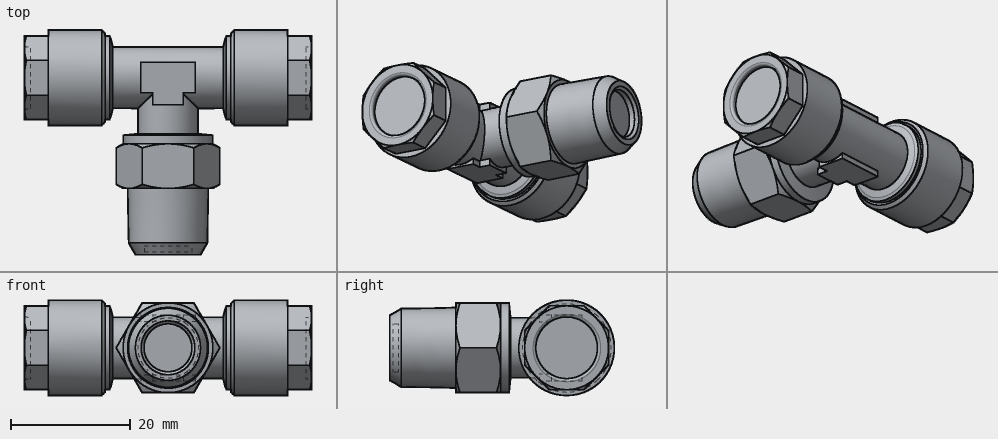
import math

import cadquery as cq

run_length = 48.0
run_radius = 5.15
branch_length = 29.6
branch_radius = 5.05

pad_reach = 4.55
pad_half_width = 2.55
pad_thickness = 11.0

nut_across_flats = 14.0
nut_octagon_length = 4.0
nut_collar_radius = 8.0
nut_collar_end = 13.5
nut_collar_chamfer = 0.6
ring_radius = 7.0
ring_end = 14.25
ring_shoulder_radius = 6.4
ring_shoulder_end = 14.5
ring_taper_end = 14.8
nut_bore_radius = 5.15
nut_bore_depth = 1.0
nut_bore_round = 0.5

hex_across_flats = 15.0
hex_start = 11.05
hex_end = 18.5
flange_radius = hex_across_flats / 2
flange_face = 9.35
flange_start = 9.6
thread_tip_radius = 6.6
thread_end = 27.6
thread_root_radius = 6.76
tip_angle = math.radians(30)
tip_radius = thread_tip_radius - (branch_length - thread_end) * math.tan(tip_angle)
branch_bore_radius = 4.0
branch_bore_depth = 1.5
branch_bore_chamfer = 0.5

corner_chamfer_angle = math.radians(30)
cone_clearance = 0.5


def revolved(profile):
    """Revolve a closed (radius, height) profile about the Z axis."""
    return cq.Workplane("XZ").polyline(profile).close().revolve(360, (0, 0, 0), (0, 1, 0))


def prism(sides, across_flats, length, first_corner_angle):
    """Regular prism standing on Z = 0."""
    corner_diameter = across_flats / math.cos(math.pi / sides)
    return (
        cq.Workplane("XY")
        .polygon(sides, corner_diameter)
        .extrude(length)
        .rotate((0, 0, 0), (0, 0, 1), first_corner_angle)
    )


def corner_cone(across_flats, sides, length, both_ends):
    """Turned envelope that bevels the corners of a prism standing on Z = 0."""
    flat_radius = across_flats / 2
    outer_radius = flat_radius / math.cos(math.pi / sides) + cone_clearance
    bevel = (outer_radius - flat_radius) * math.tan(corner_chamfer_angle)
    profile = [(0, 0), (flat_radius, 0), (outer_radius, bevel)]
    if both_ends:
        profile += [(outer_radius, length - bevel), (flat_radius, length)]
    else:
        profile += [(outer_radius, length)]
    return revolved(profile + [(0, length)])


def compression_nut():
    """Octagonal nut with collar and ring; its open end is at Z = 0 and it points up Z."""
    sides = 8
    half_side_angle = 180 / sides
    octagon = prism(sides, nut_across_flats, nut_octagon_length, half_side_angle)
    octagon = octagon.intersect(corner_cone(nut_across_flats, sides, nut_octagon_length, False))
    collar_edge_radius = nut_collar_radius - nut_collar_chamfer
    collar = revolved([
        (0, nut_octagon_length),
        (nut_collar_radius, nut_octagon_length),
        (nut_collar_radius, nut_collar_end - nut_collar_chamfer),
        (collar_edge_radius, nut_collar_end),
        (ring_radius, nut_collar_end),
        (ring_radius, ring_end),
        (ring_shoulder_radius, ring_shoulder_end),
        (run_radius, ring_taper_end),
        (0, ring_taper_end),
    ])
    return octagon.union(collar)


def nut_bore():
    """Shallow blind bore with a rounded mouth, opening at Z = 0."""
    mouth_radius = nut_bore_radius + nut_bore_round
    arc_offset = nut_bore_round * (1 - math.cos(math.radians(45)))
    return (
        cq.Workplane("XZ")
        .lineTo(mouth_radius, 0)
        .threePointArc((nut_bore_radius + arc_offset, arc_offset), (nut_bore_radius, nut_bore_round))
        .lineTo(nut_bore_radius, nut_bore_depth)
        .lineTo(0, nut_bore_depth)
        .close()
        .revolve(360, (0, 0, 0), (0, 1, 0))
    )


def at_run_ends(shape):
    """Copies of a Z-pointing shape at both run ends, pointing inward."""
    left = shape.rotate((0, 0, 0), (0, 1, 0), 90).translate((-run_length / 2, 0, 0))
    return left, left.mirror("YZ")


def on_branch(shape):
    """Turn a Z-pointing shape so that it points along the branch, toward -Y."""
    return shape.rotate((0, 0, 0), (1, 0, 0), 90)


def branch():
    """Neck, flange, hexagon and tapered thread of the branch, along +Z."""
    turned = revolved([
        (0, 0),
        (branch_radius, 0),
        (branch_radius, flange_face),
        (flange_radius, flange_start),
        (flange_radius, hex_start),
        (thread_root_radius, hex_start),
        (thread_root_radius, hex_end),
        (thread_tip_radius, thread_end),
        (tip_radius, branch_length),
        (0, branch_length),
    ])
    sides = 6
    hex_length = hex_end - hex_start
    hexagon = prism(sides, hex_across_flats, hex_length, 0)
    hexagon = hexagon.intersect(corner_cone(hex_across_flats, sides, hex_length, True))
    return turned.union(hexagon.translate((0, 0, hex_start)))


def branch_bore():
    """Shallow blind bore with a chamfered mouth at the branch tip."""
    bore_floor = branch_length - branch_bore_depth
    return revolved([
        (0, bore_floor),
        (branch_bore_radius, bore_floor),
        (branch_bore_radius, branch_length - branch_bore_chamfer),
        (branch_bore_radius + branch_bore_chamfer, branch_length),
        (0, branch_length),
    ])


def pads():
    """T-shaped block whose top and bottom stand proud of the tee."""
    arms = cq.Workplane("XY").box(2 * pad_reach, 2 * pad_half_width, pad_thickness)
    stem = cq.Workplane("XY").box(2 * pad_half_width, pad_reach, pad_thickness)
    return arms.union(stem.translate((0, -pad_reach / 2, 0)))


run_pipe_half_length = run_length / 2 - nut_octagon_length
result = cq.Workplane("YZ").circle(run_radius).extrude(run_pipe_half_length, both=True)
result = result.union(on_branch(branch())).union(pads())
for nut in at_run_ends(compression_nut()):
    result = result.union(nut)
for bore in at_run_ends(nut_bore()):
    result = result.cut(bore)
result = result.cut(on_branch(branch_bore()))